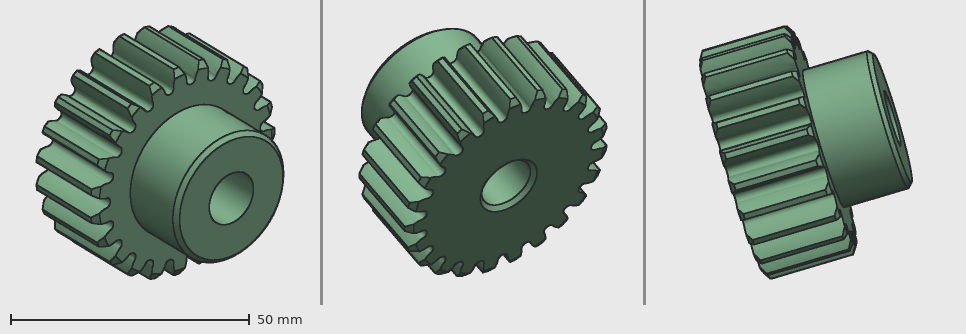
import cadquery as cq
import math

tooth_count = 23
outside_diameter = 50.0
pressure_angle = math.radians(20)
gear_width = 20.0
overall_length = 35.0
hub_diameter = 30.05
bore_diameter = 12.0
edge_chamfer = 1.0
tip_bevel_depth = 1.6
tooth_thinning = 0.075
involute_steps = 5

module = outside_diameter / (tooth_count + 2)
tip_radius = outside_diameter / 2
pitch_radius = module * tooth_count / 2
base_radius = pitch_radius * math.cos(pressure_angle)
pitch_step = 2 * math.pi / tooth_count


def involute_angle(angle):
    """Involute function: polar angle swept where the local pressure angle is `angle`."""
    return math.tan(angle) - angle


pitch_half_angle = pitch_step / 4 - tooth_thinning / (2 * pitch_radius)
base_half_angle = pitch_half_angle + involute_angle(pressure_angle)

gap_half_angle = pitch_step / 2 - base_half_angle
root_radius = base_radius * (math.cos(gap_half_angle) - math.sin(gap_half_angle))


def polar(radius, angle):
    return (radius * math.cos(angle), radius * math.sin(angle))


def flank_points(tooth_angle, side):
    """Points up one flank, from the base circle to the tip; side is -1 or +1."""
    points = []
    for step in range(involute_steps + 1):
        radius = base_radius + (tip_radius - base_radius) * step / involute_steps
        sweep = involute_angle(math.acos(base_radius / radius))
        points.append(polar(radius, tooth_angle + side * (base_half_angle - sweep)))
    return points


def add_tooth(outline, tooth_angle):
    """Extend the outline over one tooth and through the round-bottomed gap after it."""
    rising = flank_points(tooth_angle, -1)
    falling = flank_points(tooth_angle, 1)[::-1]
    gap_angle = tooth_angle + pitch_step / 2
    next_tooth_start = tooth_angle + pitch_step - base_half_angle
    return (
        outline.spline(rising[1:], includeCurrent=True)
        .threePointArc(polar(tip_radius, tooth_angle), falling[0])
        .spline(falling[1:], includeCurrent=True)
        .threePointArc(polar(root_radius, gap_angle), polar(base_radius, next_tooth_start))
    )


def make_toothed_wheel():
    outline = cq.Workplane("YZ").moveTo(*polar(base_radius, -base_half_angle))
    for tooth in range(tooth_count):
        outline = add_tooth(outline, tooth * pitch_step)
    wheel = outline.close().extrude(gear_width)

    blank = (
        cq.Workplane("XY")
        .polyline([
            (0, 0),
            (0, tip_radius - tip_bevel_depth),
            (edge_chamfer, tip_radius),
            (gear_width - edge_chamfer, tip_radius),
            (gear_width, tip_radius - tip_bevel_depth),
            (gear_width, 0),
        ])
        .close()
        .revolve(360, (0, 0), (1, 0))
    )
    return wheel.intersect(blank)


def make_hub():
    return (
        cq.Workplane("YZ", origin=(gear_width, 0, 0))
        .circle(hub_diameter / 2)
        .extrude(overall_length - gear_width)
        .faces(">X")
        .chamfer(edge_chamfer)
    )


def make_bore():
    """Through bore, countersunk on the toothed face."""
    bore_radius = bore_diameter / 2
    return (
        cq.Workplane("XY")
        .polyline([
            (0, 0),
            (0, bore_radius + edge_chamfer),
            (edge_chamfer, bore_radius),
            (overall_length, bore_radius),
            (overall_length, 0),
        ])
        .close()
        .revolve(360, (0, 0), (1, 0))
    )


result = make_toothed_wheel().union(make_hub()).cut(make_bore())